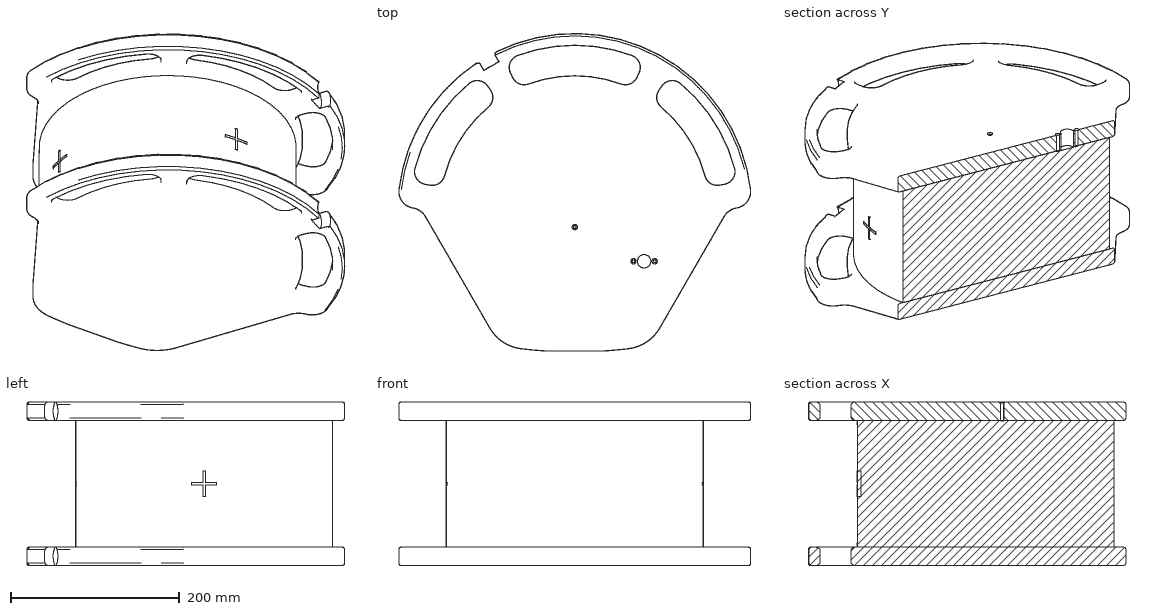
import cadquery as cq
import math

FLANGE_THICKNESS = 22.0
DRUM_HEIGHT = 150.0
DRUM_RADIUS = 152.5
LOWER_FLANGE_Z = -DRUM_HEIGHT / 2 - FLANGE_THICKNESS
UPPER_FLANGE_Z = DRUM_HEIGHT / 2

RIM_RADIUS = 210.0
SIDE_ANGLE = 60.0
SIDE_DISTANCE = 157.0
FOOT_Y = -166.5
FOOT_HALF_LENGTH = 34.5
FOOT_ARC_RADIUS = 542.7
FOOT_CORNER_RADIUS = 50.0
EAR_X = 192.0
EAR_Y = 3.0
EAR_ANGLE = 11.0
EAR_CORNER_RADIUS = 20.0
BISECTION_STEPS = 60
PICK_MARGIN = 4.0
RIM_FILLET = 3.0

SLOT_SPANS = [(10, 55), (65, 115), (125, 170)]
SLOT_INNER_RADIUS = 160.0
SLOT_OUTER_RADIUS = 196.0
SLOT_CORNER_RADIUS = 15.0
SLOT_FILLET = 5.0

NOTCH_ANGLE = 120.0
NOTCH_RADIUS = 15.0
NOTCH_FLOOR_DISTANCE = 198.0

CENTRE_HOLE = (0, -19.5)
PORT_CENTRE = (82.2, -60.0)
PORT_DIAMETER = 16.0
PORT_SCREW_OFFSET = 12.5
SCREW_HOLE_DIAMETER = 3.5
SCREW_HEAD_DIAMETER = 6.3
SCREW_HEAD_ANGLE = 90

CROSS_ANGLES = [0, 90, 180]
CROSS_LENGTH = 30.0
CROSS_ARM_WIDTH = 3.0
CROSS_DEPTH = 4.0


def on_circle(radius, degrees):
    angle = math.radians(degrees)
    return (radius * math.cos(angle), radius * math.sin(angle))


def mirrored(point):
    return (-point[0], point[1])


def ear_tip():
    """Where the ear's lower edge, on the +X side, meets the rim circle."""
    slope = math.tan(math.radians(EAR_ANGLE))
    offset = EAR_Y - slope * EAR_X
    a = 1 + slope**2
    b = slope * offset
    c = offset**2 - RIM_RADIUS**2
    x = (-b + math.sqrt(b**2 - a * c)) / a
    return (x, slope * x + offset)


def side_y(x):
    """Height of the +X straight side at x."""
    angle = math.radians(SIDE_ANGLE)
    return math.tan(angle) * x - SIDE_DISTANCE / math.cos(angle)


def ear_root():
    """Where the ear's lower edge meets the straight side."""
    ear_slope = math.tan(math.radians(EAR_ANGLE))
    side_slope = math.tan(math.radians(SIDE_ANGLE))
    x = (EAR_Y - ear_slope * EAR_X - side_y(0)) / (side_slope - ear_slope)
    return (x, side_y(x))


def foot_arc_y(x):
    centre_y = FOOT_Y + math.sqrt(FOOT_ARC_RADIUS**2 - FOOT_HALF_LENGTH**2)
    return centre_y - math.sqrt(FOOT_ARC_RADIUS**2 - x**2)


def foot_corner():
    """Where the shallow foot arc meets the straight side, found by bisection."""
    low, high = FOOT_HALF_LENGTH, EAR_X
    for _ in range(BISECTION_STEPS):
        middle = (low + high) / 2
        if side_y(middle) < foot_arc_y(middle):
            low = middle
        else:
            high = middle
    return (low, side_y(low))


def upright_edges(blank, point):
    """The upright edges of a blank at a corner and at its mirror image across the YZ plane."""
    edges = []
    for x, y in (point, mirrored(point)):
        near_corner = cq.selectors.BoxSelector(
            (x - PICK_MARGIN, y - PICK_MARGIN, -PICK_MARGIN),
            (x + PICK_MARGIN, y + PICK_MARGIN, FLANGE_THICKNESS + PICK_MARGIN),
        )
        edges += blank.edges("|Z").edges(near_corner).vals()
    return edges


def flange_blank():
    tip = ear_tip()
    root = ear_root()
    corner = foot_corner()
    foot = (FOOT_HALF_LENGTH, FOOT_Y)
    arc_x = (foot[0] + corner[0]) / 2
    arc_middle = (arc_x, foot_arc_y(arc_x))
    blank = (
        cq.Workplane("XY")
        .moveTo(*tip)
        .threePointArc((0, RIM_RADIUS), mirrored(tip))
        .lineTo(*mirrored(root))
        .lineTo(*mirrored(corner))
        .threePointArc(mirrored(arc_middle), mirrored(foot))
        .lineTo(*foot)
        .threePointArc(arc_middle, corner)
        .lineTo(*root)
        .close()
        .extrude(FLANGE_THICKNESS)
    )
    ear_edges = upright_edges(blank, tip) + upright_edges(blank, root)
    blank = blank.newObject(ear_edges).fillet(EAR_CORNER_RADIUS)
    foot_edges = upright_edges(blank, corner)
    blank = blank.newObject(foot_edges).fillet(FOOT_CORNER_RADIUS)
    return blank.faces("|Z").edges().fillet(RIM_FILLET)


def slot_cutter(start, end):
    """Arc-shaped hand slot between two angles about the drum axis."""
    middle = (start + end) / 2
    slot = (
        cq.Workplane("XY")
        .moveTo(*on_circle(SLOT_INNER_RADIUS, start))
        .lineTo(*on_circle(SLOT_OUTER_RADIUS, start))
        .threePointArc(on_circle(SLOT_OUTER_RADIUS, middle), on_circle(SLOT_OUTER_RADIUS, end))
        .lineTo(*on_circle(SLOT_INNER_RADIUS, end))
        .threePointArc(on_circle(SLOT_INNER_RADIUS, middle), on_circle(SLOT_INNER_RADIUS, start))
        .close()
        .extrude(FLANGE_THICKNESS)
    )
    return slot.edges("|Z").fillet(SLOT_CORNER_RADIUS)


def notch_cutter():
    """Flat-bottomed round bore along a radius, wider than the flange is thick, with a rounded mouth."""
    mouth_start = RIM_RADIUS - RIM_FILLET
    mouth_radius = NOTCH_RADIUS + RIM_FILLET
    bend = RIM_FILLET * math.sqrt(0.5)
    bore = (
        cq.Workplane("XY")
        .moveTo(NOTCH_FLOOR_DISTANCE, 0)
        .lineTo(NOTCH_FLOOR_DISTANCE, NOTCH_RADIUS)
        .lineTo(mouth_start, NOTCH_RADIUS)
        .threePointArc((mouth_start + bend, mouth_radius - bend), (RIM_RADIUS, mouth_radius))
        .lineTo(RIM_RADIUS, 0)
        .close()
        .revolve(360, (0, 0, 0), (1, 0, 0))
    )
    return bore.rotate((0, 0, 0), (0, 0, 1), NOTCH_ANGLE).translate((0, 0, FLANGE_THICKNESS / 2))


def make_flange():
    flange = flange_blank()
    for start, end in SLOT_SPANS:
        flange = flange.cut(slot_cutter(start, end))
    slot_edges = []
    for face in flange.faces("|Z").vals():
        for slot_rim in face.innerWires():
            slot_edges += slot_rim.Edges()
    flange = flange.newObject(slot_edges).fillet(SLOT_FILLET)
    return flange.cut(notch_cutter())


def drill_upper_flange(flange):
    """A through port with a countersunk screw hole on either side, and one more near the drum axis."""
    port_x, port_y = PORT_CENTRE
    screw_points = [
        CENTRE_HOLE,
        (port_x - PORT_SCREW_OFFSET, port_y),
        (port_x + PORT_SCREW_OFFSET, port_y),
    ]
    return (
        flange.faces(">Z")
        .workplane(origin=(0, 0, 0))
        .pushPoints([PORT_CENTRE])
        .hole(PORT_DIAMETER)
        .faces(">Z")
        .workplane(origin=(0, 0, 0))
        .pushPoints(screw_points)
        .cskHole(SCREW_HOLE_DIAMETER, SCREW_HEAD_DIAMETER, SCREW_HEAD_ANGLE)
    )


def make_cross(angle):
    """Plus-shaped inlay whose outer face follows the drum wall."""
    back = cq.Workplane("YZ", origin=(DRUM_RADIUS - CROSS_DEPTH, 0, 0))
    flat_bar = back.rect(CROSS_LENGTH, CROSS_ARM_WIDTH).extrude(CROSS_DEPTH)
    upright_bar = back.rect(CROSS_ARM_WIDTH, CROSS_LENGTH).extrude(CROSS_DEPTH)
    drum_envelope = cq.Workplane("XY").circle(DRUM_RADIUS).extrude(DRUM_HEIGHT / 2, both=True)
    cross = flat_bar.union(upright_bar).intersect(drum_envelope)
    return cross.rotate((0, 0, 0), (0, 0, 1), angle)


def make_drum(inlays):
    """Solid drum, its wall in a +Y and a -Y half face, with a recess for each inlay."""
    drum = (
        cq.Workplane("XY", origin=(0, 0, -DRUM_HEIGHT / 2))
        .moveTo(DRUM_RADIUS, 0)
        .threePointArc((0, DRUM_RADIUS), (-DRUM_RADIUS, 0))
        .threePointArc((0, -DRUM_RADIUS), (DRUM_RADIUS, 0))
        .close()
        .extrude(DRUM_HEIGHT, clean=False)
    )
    for inlay in inlays:
        drum = drum.cut(inlay, clean=False)
    return drum


flange = make_flange()
lower_flange = flange.translate((0, 0, LOWER_FLANGE_Z))
upper_flange = drill_upper_flange(flange).translate((0, 0, UPPER_FLANGE_Z))
crosses = [make_cross(angle) for angle in CROSS_ANGLES]
drum = make_drum(crosses)

result = cq.Compound.makeCompound(
    [lower_flange.val(), upper_flange.val(), drum.val(), *[cross.val() for cross in crosses]]
)